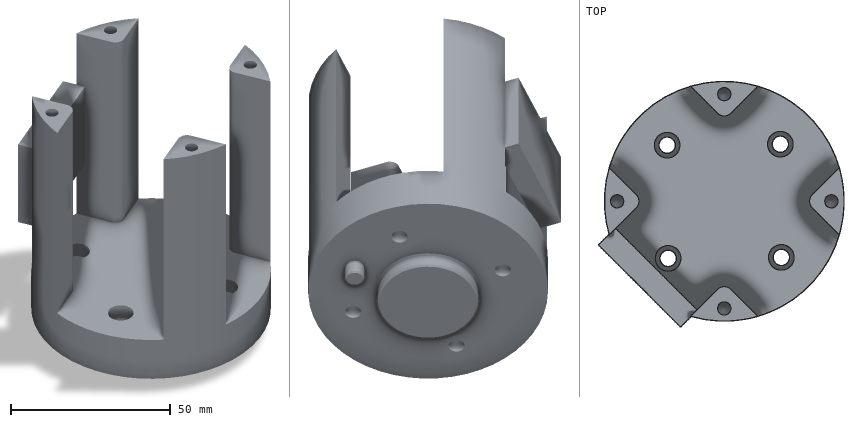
import cadquery as cq
import math

total_height = 90.0
spigot_height = 5.0
base_height = 15.0
base_diameter = 75.0
base_radius = base_diameter / 2
base_top = spigot_height + base_height

spigot_diameter = 31.5
spigot_edge_chamfer = 0.5
spigot_flare = 0.5
pin_diameter = 6.0
pin_offset = 25.0
pin_edge_chamfer = 0.45

channel_width = 36.0
post_edge_radius = 3.0
post_hole_diameter = 4.1
post_hole_offset = 33.5
post_hole_depth = 15.0
drill_tip_angle = 118.0

mount_circle_radius = 25.0
mount_rotation = 0.5
mount_hole_diameter = 5.0
mount_bore_diameter = 8.0
mount_bore_depth = 4.9

plate_width = 36.4
plate_thickness = 7.5
plate_height = 30.1
plate_drop = 20.0

quarter_turns = [0, 90, 180, 270]


def polar(radius, angle):
    """Point at a radius and an angle in degrees."""
    return radius * math.cos(math.radians(angle)), radius * math.sin(math.radians(angle))


def cylinder(diameter, bottom, height, center=(0, 0)):
    return cq.Workplane("XY", origin=(*center, bottom)).circle(diameter / 2).extrude(height)


def make_post():
    """Wedge on the +X side with a right-angled, rounded inner edge."""
    post_height = total_height - base_top
    apex = channel_width / math.sqrt(2)
    reach = base_diameter
    wedge = (
        cq.Workplane("XY", origin=(0, 0, base_top))
        .polyline([(apex, 0), (apex + reach, -reach), (apex + reach, reach)])
        .close()
        .extrude(post_height)
        .edges("|Z and <X")
        .fillet(post_edge_radius)
    )
    return wedge.intersect(cylinder(base_diameter, base_top, post_height))


def make_post_hole():
    """Blind drilled hole with a conical end, revolved about its own axis."""
    radius = post_hole_diameter / 2
    tip_height = radius / math.tan(math.radians(drill_tip_angle / 2))
    return (
        cq.Workplane("XZ", origin=(post_hole_offset, 0, total_height))
        .polyline([
            (0, 0),
            (radius, 0),
            (radius, -post_hole_depth),
            (0, -post_hole_depth - tip_height),
        ])
        .close()
        .revolve(360, (0, 0), (0, 1))
    )


def make_spigot():
    """Round spigot with a chamfered end and a small conical flare where it meets the base."""
    radius = spigot_diameter / 2
    return (
        cq.Workplane("XZ")
        .polyline([
            (0, 0),
            (radius - spigot_edge_chamfer, 0),
            (radius, spigot_edge_chamfer),
            (radius, spigot_height - spigot_flare),
            (radius + spigot_flare, spigot_height),
            (0, spigot_height),
        ])
        .close()
        .revolve(360, (0, 0), (0, 1))
    )


def make_pin():
    pin = cylinder(pin_diameter, 0, spigot_height, (0, pin_offset))
    return pin.faces("<Z").edges().chamfer(pin_edge_chamfer)


def make_plate():
    bottom = total_height - plate_drop - plate_height
    center_radius = base_radius - plate_thickness / 2
    return (
        cq.Workplane("XY")
        .box(plate_thickness, plate_width, plate_height, centered=(True, True, False))
        .translate((center_radius, 0, bottom))
        .rotate((0, 0, 0), (0, 0, 1), 225)
    )


def make_mount_hole(angle):
    center = polar(mount_circle_radius, angle)
    hole = cylinder(mount_hole_diameter, spigot_height, base_height, center)
    bore = cylinder(mount_bore_diameter, base_top - mount_bore_depth, mount_bore_depth, center)
    return hole.union(bore)


base = cylinder(base_diameter, spigot_height, base_height)
result = base.union(make_spigot()).union(make_pin())

for turn in quarter_turns:
    result = result.union(make_post().rotate((0, 0, 0), (0, 0, 1), turn))

result = result.union(make_plate())

for turn in quarter_turns:
    result = result.cut(make_post_hole().rotate((0, 0, 0), (0, 0, 1), turn))
    result = result.cut(make_mount_hole(45 + mount_rotation + turn))